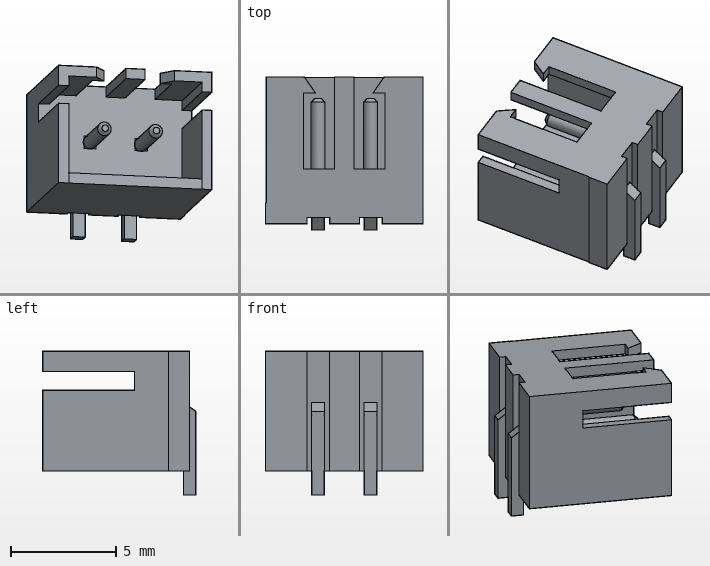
import cadquery as cq

HOUSING_WIDTH = 7.5
HOUSING_DEPTH = 7.0
HOUSING_HEIGHT = 5.71
SIDE_STEP = 0.03
REAR_STRIP_DEPTH = 1.0

WALL = 0.5
FLOOR_SETBACK = 0.02
CAVITY_DEPTH = 4.37
SIDE_SLOT_DROP = 0.975
SIDE_SLOT_HEIGHT = 0.88

RIB_WIDTH = 0.93
OPENING_OUTER_X = 1.93
HOOK_FRONT_X = 1.9
HOOK_TIP_X = 1.365
HOOK_LENGTH = 0.77

PIN_PITCH = 2.5
LEG_SIZE = 0.6
LEG_PROTRUSION = 0.3
LEG_BELOW_HOUSING = 1.14
LEG_TOP_DROP = 2.44
LEG_BEVEL = 0.43
BLADE_DIAMETER = 0.66
BLADE_SETBACK = 1.02
TIP_LENGTH = 0.19
TIP_FLAT_DIAMETER = 0.315

GROOVE_WIDTH = 1.065
GROOVE_OFFSET = 0.015

CAVITY_BACK_Y = HOUSING_DEPTH - CAVITY_DEPTH
CEILING_Z = HOUSING_HEIGHT - WALL
SIDE_SLOT_TOP_Z = HOUSING_HEIGHT - SIDE_SLOT_DROP
GROOVE_DEPTH = LEG_SIZE - LEG_PROTRUSION
LEG_TOP_Z = HOUSING_HEIGHT - LEG_TOP_DROP
BLADE_Z = LEG_TOP_Z - LEG_SIZE / 2
PIN_CENTRES = [-PIN_PITCH / 2, PIN_PITCH / 2]


def block(x_range, y_range, z_range):
    """Axis-aligned box between the given limits."""
    size = [end - start for start, end in (x_range, y_range, z_range)]
    box = cq.Workplane("XY").box(*size, centered=False)
    return box.translate((x_range[0], y_range[0], z_range[0]))


def shank(pin_x):
    """Square part of a pin, running through the rear wall."""
    half = LEG_SIZE / 2
    return block(
        (pin_x - half, pin_x + half),
        (GROOVE_DEPTH, CAVITY_BACK_Y),
        (BLADE_Z - half, BLADE_Z + half),
    )


def outer_shell():
    right = HOUSING_WIDTH / 2
    left = -right
    height = (0, HOUSING_HEIGHT)
    main = block((left + SIDE_STEP, right), (0, HOUSING_DEPTH), height)
    rear_strip = block((left, right), (0, REAR_STRIP_DEPTH), height)
    return main.union(rear_strip)


def cavity():
    inner_x = HOUSING_WIDTH / 2 - WALL
    return block((-inner_x, inner_x), (CAVITY_BACK_Y, HOUSING_DEPTH), (WALL, CEILING_Z))


def side_slots():
    """Slots through both side walls, open toward +Y."""
    return block(
        (-HOUSING_WIDTH / 2, HOUSING_WIDTH / 2),
        (CAVITY_BACK_Y, HOUSING_DEPTH),
        (SIDE_SLOT_TOP_Z - SIDE_SLOT_HEIGHT, SIDE_SLOT_TOP_Z),
    )


def floor_setback():
    inner_x = HOUSING_WIDTH / 2 - WALL
    return block((-inner_x, inner_x), (HOUSING_DEPTH - FLOOR_SETBACK, HOUSING_DEPTH), (0, WALL))


def latch_opening(side):
    """Ceiling opening beside the centre rib, leaving a hook at the front; side is -1 or 1."""
    hook_back_y = HOUSING_DEPTH - HOOK_LENGTH
    outline = [
        (RIB_WIDTH / 2, CAVITY_BACK_Y),
        (OPENING_OUTER_X, CAVITY_BACK_Y),
        (OPENING_OUTER_X, hook_back_y),
        (HOOK_TIP_X, hook_back_y),
        (HOOK_FRONT_X, HOUSING_DEPTH),
        (RIB_WIDTH / 2, HOUSING_DEPTH),
    ]
    points = [(side * x, y) for x, y in outline]
    return cq.Workplane("XY").workplane(offset=CEILING_Z).polyline(points).close().extrude(WALL)


def rear_groove(pin_x):
    centre = pin_x + GROOVE_OFFSET
    half = GROOVE_WIDTH / 2
    return block((centre - half, centre + half), (0, GROOVE_DEPTH), (0, HOUSING_HEIGHT))


def make_housing():
    body = outer_shell().cut(cavity()).cut(side_slots()).cut(floor_setback())
    for side in (-1, 1):
        body = body.cut(latch_opening(side))
    for pin_x in PIN_CENTRES:
        body = body.cut(rear_groove(pin_x)).cut(shank(pin_x))
    return body


def leg(pin_x):
    """Vertical solder leg with a bevelled top."""
    profile = [
        (-LEG_PROTRUSION, -LEG_BELOW_HOUSING),
        (GROOVE_DEPTH, -LEG_BELOW_HOUSING),
        (GROOVE_DEPTH, LEG_TOP_Z),
        (-LEG_PROTRUSION, LEG_TOP_Z - LEG_BEVEL),
    ]
    start_x = pin_x - LEG_SIZE / 2
    return cq.Workplane("YZ").workplane(offset=start_x).polyline(profile).close().extrude(LEG_SIZE)


def blade(pin_x):
    """Round contact in the cavity, tapered at its tip."""
    tip_y = HOUSING_DEPTH - BLADE_SETBACK
    half_profile = [
        (0, CAVITY_BACK_Y),
        (BLADE_DIAMETER / 2, CAVITY_BACK_Y),
        (BLADE_DIAMETER / 2, tip_y - TIP_LENGTH),
        (TIP_FLAT_DIAMETER / 2, tip_y),
        (0, tip_y),
    ]
    turned = cq.Workplane("XY").polyline(half_profile).close().revolve(360, (0, 0, 0), (0, 1, 0))
    return turned.translate((pin_x, 0, BLADE_Z))


def make_pin(pin_x):
    return leg(pin_x).union(shank(pin_x)).union(blade(pin_x))


housing = make_housing()
pins = [make_pin(pin_x) for pin_x in PIN_CENTRES]

result = cq.Compound.makeCompound([housing.val(), *[pin.val() for pin in pins]])